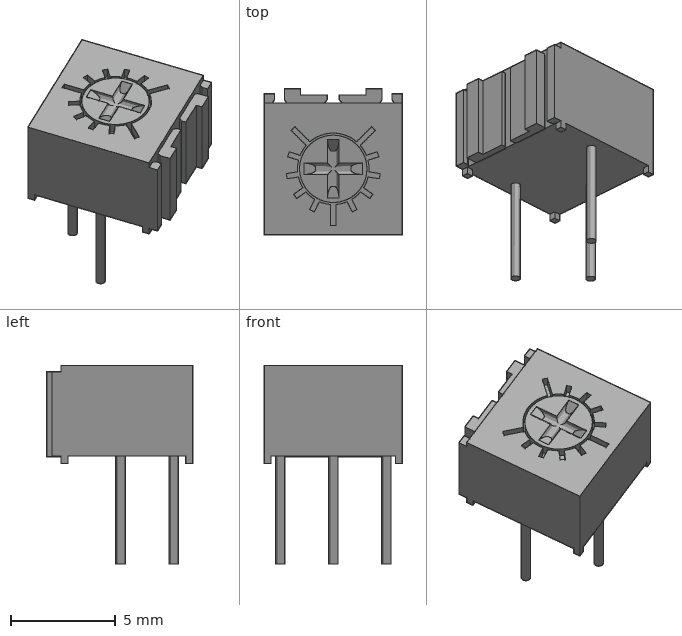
import cadquery as cq
import math


width = 6.6
block_depth = 6.31
top_z = 4.7
underside_z = 0.355
side_x = width / 2
front_y = -block_depth / 2
back_y = block_depth / 2

foot_width = 0.33
foot_depth = 0.35

overall_depth = 6.99
rail_drop = 0.305
rail_top_z = top_z - rail_drop
post_width = 0.5
post_reach = 0.435
post_chamfer_x = 0.1
hook_reach = overall_depth - block_depth
hook_arm_reach = 0.38
hook_outer_x = 2.335
hook_step_x = 1.555
hook_inner_x = 0.285
hook_drop = 0.035
hook_outer_chamfer_x = 0.1
hook_inner_chamfer_x = 0.13
root_chamfer_y = 0.15

rotor_diameter = 3.22
rotor_gap = 0.1
dial_depth = 0.51
dial_floor_z = top_z - dial_depth
dial_diameter = rotor_diameter + 2 * rotor_gap

mark_width = 0.25
mark_pitch = 27
mark_count = 11
first_mark_angle = 45
long_mark_radius = 2.72
short_mark_radius = 2.25
long_mark_every = 5

cross_length = 2.8
cross_ramp_end_length = 1.81
cross_floor_length = 1.69
cross_width = 0.54
cross_floor_width = 0.18
cross_depth = 0.22
cross_ramp_depth = 0.2

pin_diameter = 0.46
pin_pitch = 2.54
pin_length = 5.155
outer_pin_inset = 3.46
outer_pin_y = front_y + outer_pin_inset
middle_pin_y = outer_pin_y - pin_pitch
pin_places = [
    (-pin_pitch, outer_pin_y),
    (0, middle_pin_y),
    (pin_pitch, outer_pin_y),
]


def prism(points, bottom, top):
    """Upright prism over a closed XY outline."""
    return cq.Workplane("XY").workplane(offset=bottom).polyline(points).close().extrude(top - bottom)


def make_block():
    return (
        cq.Workplane("XY")
        .workplane(offset=underside_z)
        .rect(width, block_depth)
        .extrude(top_z - underside_z)
    )


def make_feet():
    """Four corner feet, flush with the block sides."""
    return (
        cq.Workplane("XY")
        .rect(width - foot_width, block_depth - foot_depth, forConstruction=True)
        .vertices()
        .rect(foot_width, foot_depth)
        .extrude(underside_z)
    )


def make_left_post():
    """Corner post on the back wall, chamfered at the root of its inner side."""
    inner_x = -side_x + post_width
    outline = [
        (-side_x, back_y),
        (-side_x, back_y + post_reach),
        (inner_x, back_y + post_reach),
        (inner_x, back_y + root_chamfer_y),
        (inner_x - post_chamfer_x, back_y),
    ]
    return prism(outline, underside_z, rail_top_z)


def make_left_hook():
    """L-shaped hook on the back wall, chamfered at both sides of its root."""
    outline = [
        (-hook_outer_x + hook_outer_chamfer_x, back_y),
        (-hook_outer_x, back_y + root_chamfer_y),
        (-hook_outer_x, back_y + hook_reach),
        (-hook_step_x, back_y + hook_reach),
        (-hook_step_x, back_y + hook_arm_reach),
        (-hook_inner_x, back_y + hook_arm_reach),
        (-hook_inner_x, back_y + root_chamfer_y),
        (-hook_inner_x - hook_inner_chamfer_x, back_y),
    ]
    return prism(outline, underside_z - hook_drop, rail_top_z)


def make_dial_cut():
    """Round rotor recess joined with the radial scale marks."""
    floor = cq.Workplane("XY").workplane(offset=dial_floor_z)
    cut = floor.circle(dial_diameter / 2).extrude(dial_depth)
    for i in range(mark_count):
        radius = long_mark_radius if i % long_mark_every == 0 else short_mark_radius
        mark = floor.center(radius / 2, 0).rect(radius, mark_width).extrude(dial_depth)
        cut = cut.union(mark.rotate((0, 0, 0), (0, 0, 1), first_mark_angle - i * mark_pitch))
    return cut


def make_housing():
    housing = make_block().union(make_feet())
    for left_part in (make_left_post(), make_left_hook()):
        housing = housing.union(left_part).union(left_part.mirror("YZ"))
    return housing.cut(make_dial_cut())


def make_cross_arm():
    """One arm along X: a channel with hollow round flanks and ramped ends.

    Each flank is an arc about an axis in the top face, so it leaves that face square.
    """
    floor_z = top_z - cross_depth
    half_width = cross_width / 2
    half_floor = cross_floor_width / 2
    flank_run = half_width - half_floor
    flank_radius = (flank_run**2 + cross_depth**2) / (2 * flank_run)
    half_sweep = math.asin(cross_depth / flank_radius) / 2
    middle_y = half_width - flank_radius * (1 - math.cos(half_sweep))
    middle_z = top_z - flank_radius * math.sin(half_sweep)
    channel = (
        cq.Workplane("YZ")
        .moveTo(-half_width, top_z)
        .threePointArc((-middle_y, middle_z), (-half_floor, floor_z))
        .lineTo(half_floor, floor_z)
        .threePointArc((middle_y, middle_z), (half_width, top_z))
        .close()
        .extrude(cross_length / 2, both=True)
    )
    ramped_ends = (
        cq.Workplane("XZ")
        .polyline([
            (-cross_length / 2, top_z),
            (-cross_ramp_end_length / 2, top_z - cross_ramp_depth),
            (-cross_floor_length / 2, floor_z),
            (cross_floor_length / 2, floor_z),
            (cross_ramp_end_length / 2, top_z - cross_ramp_depth),
            (cross_length / 2, top_z),
        ])
        .close()
        .extrude(cross_width, both=True)
    )
    return channel.intersect(ramped_ends)


def make_rotor():
    disc = (
        cq.Workplane("XY")
        .workplane(offset=dial_floor_z)
        .circle(rotor_diameter / 2)
        .extrude(dial_depth)
    )
    arm = make_cross_arm()
    return disc.cut(arm).cut(arm.rotate((0, 0, 0), (0, 0, 1), 90))


def make_pin(x, y):
    """Round pin hanging from the underside of the housing."""
    return (
        cq.Workplane("XY")
        .workplane(offset=underside_z)
        .center(x, y)
        .circle(pin_diameter / 2)
        .extrude(-pin_length)
    )


housing = make_housing()
rotor = make_rotor()
pins = [make_pin(x, y) for x, y in pin_places]

result = cq.Compound.makeCompound([housing.val(), rotor.val(), *[pin.val() for pin in pins]])